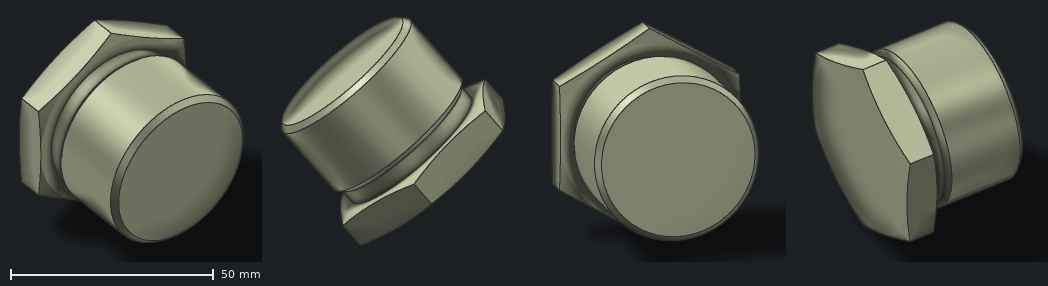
import cadquery as cq
import math

corner_width = 53.1
flat_width = corner_width * math.cos(math.radians(30))
head_thickness = 8.6
head_chamfer_angle = 15.0

total_length = 35.1
neck_diameter = 39.2
body_diameter = 42.0
neck_end = 12.7
shoulder_length = (body_diameter - neck_diameter) / 2
end_chamfer_length = 1.5


def revolve_about_x(profile):
    """Solid of revolution from (x, radius) points, closed along the X axis."""
    return cq.Workplane("XY").polyline(profile).close().revolve(360, (0, 0, 0), (1, 0, 0))


def hexagonal_head():
    """Hexagonal prism with the corners of both faces turned down to the flat width."""
    prism = (
        cq.Workplane("YZ")
        .polygon(6, corner_width)
        .extrude(head_thickness)
        .rotate((0, 0, 0), (1, 0, 0), 90)
    )
    flat_radius = flat_width / 2
    corner_radius = corner_width / 2
    chamfer_depth = (corner_radius - flat_radius) * math.tan(math.radians(head_chamfer_angle))
    envelope = revolve_about_x([
        (0, 0),
        (0, flat_radius),
        (chamfer_depth, corner_radius),
        (head_thickness - chamfer_depth, corner_radius),
        (head_thickness, flat_radius),
        (head_thickness, 0),
    ])
    return prism.intersect(envelope)


def round_plug():
    """Neck, 45 degree shoulder and full body, tapering back to the neck diameter at the end."""
    neck_radius = neck_diameter / 2
    body_radius = body_diameter / 2
    return revolve_about_x([
        (0, 0),
        (0, neck_radius),
        (neck_end, neck_radius),
        (neck_end + shoulder_length, body_radius),
        (total_length - end_chamfer_length, body_radius),
        (total_length, neck_radius),
        (total_length, 0),
    ])


result = hexagonal_head().union(round_plug())